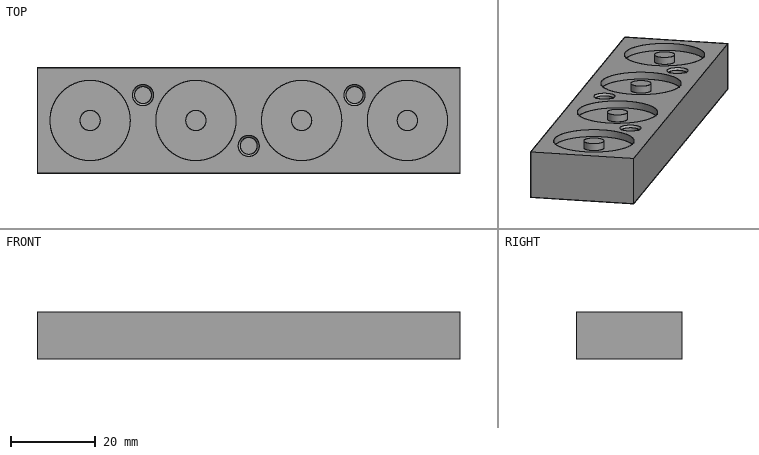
import cadquery as cq

length = 100.0
width = 25.0
height = 11.2

pocket_count = 4
pocket_pitch = length / pocket_count
pocket_diameter = 19.0
pocket_depth = 1.7
post_diameter = 4.8
post_height = 1.7

hole_diameter = 4.0
hole_mouth_diameter = 5.0
hole_depth = 8.0
hole_offset = 6.0
hole_chamfer = (hole_mouth_diameter - hole_diameter) / 2

pocket_floor = height - pocket_depth
pocket_centres = [
    ((i - (pocket_count - 1) / 2) * pocket_pitch, 0) for i in range(pocket_count)
]
hole_centres = [
    ((i - (pocket_count - 2) / 2) * pocket_pitch, hole_offset * (-1) ** i)
    for i in range(pocket_count - 1)
]


def cylinders(centres, diameter, base, tall):
    """Equal upright cylinders standing at the given centres."""
    return (
        cq.Workplane("XY", origin=(0, 0, base))
        .pushPoints(centres)
        .circle(diameter / 2)
        .extrude(tall)
    )


def countersinks():
    """Cones that widen each hole to its mouth at the top face."""
    return (
        cq.Workplane("XY", origin=(0, 0, height))
        .pushPoints(hole_centres)
        .circle(hole_mouth_diameter / 2)
        .extrude(-hole_chamfer, taper=45)
    )


block = cq.Workplane("XY").box(length, width, height, centered=(True, True, False))
pockets = cylinders(pocket_centres, pocket_diameter, pocket_floor, pocket_depth)
posts = cylinders(pocket_centres, post_diameter, pocket_floor, post_height)
holes = cylinders(hole_centres, hole_diameter, height - hole_depth, hole_depth)

result = block.cut(pockets).union(posts).cut(holes).cut(countersinks())